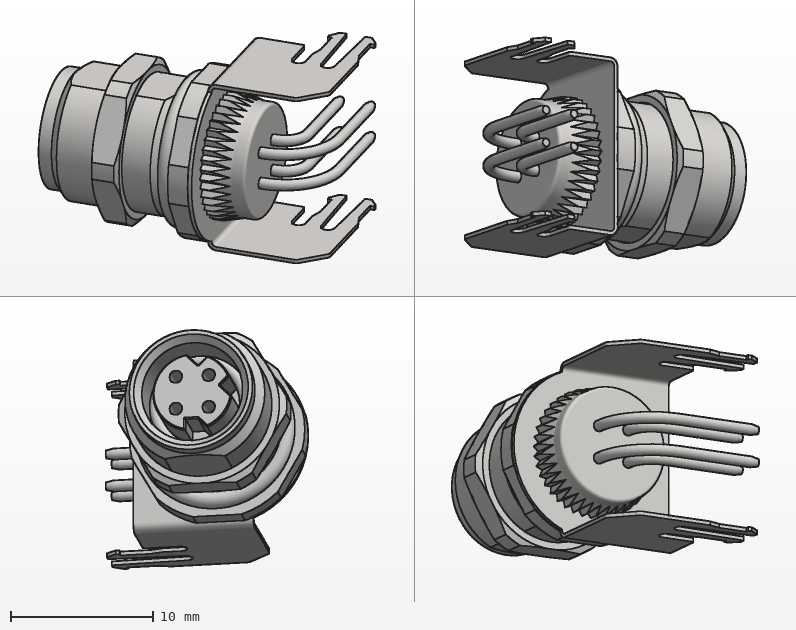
import cadquery as cq
import math


nose_radius = 8.8 / 2
nose_length = 0.98
thread_radius = 5.0
thread_start = 1.6
thread_end = 8.67
neck_radius = 4.5
neck_start = thread_end + (thread_radius - neck_radius)
thread_flat_height = neck_radius

flange_start = 10.5
flange_end = 11.98
flange_radius = 6.25
flange_across_flats = 12.02

bore_radius = 7.2 / 2
bore_mouth_radius = 4.1
bore_depth = 3.68
insert_radius = 2.82
insert_face_x = 0.53
insert_chamfer_width = 0.08
insert_chamfer_length = 0.16
contact_hole_diameter = 0.9
contact_hole_depth = 2.45
contact_offset = 2.35 / 2
key_tip_near = 0.4
key_tip_far = 1.96
key_reach = 1.64
wide_key_left = 0.51
wide_key_right = 0.39
wide_key_height = 1.95

seal_tube_radius = 0.6
seal_center_radius = 5.07
seal_center_x = flange_start - seal_tube_radius

sheet_thickness = 0.29
bracket_x = flange_end
bracket_back_x = bracket_x + sheet_thickness
bracket_half_height = 12.8 / 2
bracket_bottom_y = -2.31
bracket_top_y = flange_radius
bend_radius = 0.61
base_disc_radius = 6.2
arm_end_x = 20.45
arm_bevel = 1.8
arm_bevel_rounding = 0.4
arm_corner_rounding = 0.2
notch_start_x = 15.97
slot_radius = 0.51
slot_center_y = 3.72
clip_center_x = 18.7
clip_top_y = 9.12
clip_slot_top_half_width = 0.7
clip_tip_half_width = 1.2
clip_neck_half_width = 1.45
barb_half_width = arm_end_x - clip_center_x
barb_low_y = 8.12
barb_high_y = 8.38
clip_neck_bottom_y = 5.95
clip_root_y = 5.03

knurl_radius = 4.62
knurl_valley_radius = 4.23
knurl_taper_start = 12.97
knurl_teeth = 40
collar_radius = 8.4 / 2
collar_start = 14.5
collar_end = 15.5
collar_rounding = 0.25

pin_radius = 0.8 / 2
pin_straight_length = 0.22
pin_bend_x = collar_end + pin_straight_length
pin_bend_y = 2.95
pin_end_y = 9.16
pin_tip_radius = 0.29
pin_tip_length = 0.51

nut_start = 4.45
nut_end = 6.52
nut_radius = 6.01
nut_across_flats = 11.0
nut_face_radius = 5.52
nut_chamfer_length = 0.2


def turned(points):
    """Revolve (x, radius) points about the X axis."""
    return cq.Workplane("XY").polyline(points).close().revolve(360, (0, 0, 0), (1, 0, 0))


def cylinder_x(radius, start, end):
    return cq.Workplane("YZ", origin=(start, 0, 0)).circle(radius).extrude(end - start)


def hexagon_x(across_flats, start, end):
    """Hexagonal prism along X with flats at +Z and -Z."""
    corner_diameter = across_flats / math.cos(math.pi / 6)
    return cq.Workplane("YZ", origin=(start, 0, 0)).polygon(6, corner_diameter).extrude(end - start)


def torus_x(center_x, center_radius, tube_radius):
    profile = cq.Workplane("XY").center(center_x, center_radius).circle(tube_radius)
    return profile.revolve(360, (-center_x, -center_radius, 0), (0.2 - center_x, -center_radius, 0))


def make_shell():
    shell = turned([
        (0, 0),
        (0, nose_radius),
        (nose_length, nose_radius),
        (thread_start, thread_radius),
        (thread_end, thread_radius),
        (neck_start, neck_radius),
        (flange_start, neck_radius),
        (flange_start, 0),
    ])
    flat_bar = cq.Workplane("XY").box(flange_start, 2 * thread_radius, 2 * thread_flat_height)
    shell = shell.intersect(flat_bar.translate((flange_start / 2, 0, 0)))
    flange = cylinder_x(flange_radius, flange_start, flange_end)
    flange = flange.intersect(hexagon_x(flange_across_flats, flange_start, flange_end))
    return shell.union(flange)


def cut_mating_bore(shell):
    bore = turned([
        (0, 0),
        (0, bore_mouth_radius),
        (bore_mouth_radius - bore_radius, bore_radius),
        (bore_depth, bore_radius),
        (bore_depth, 0),
    ])
    inner_seal_tube = (bore_radius - insert_radius) / 2
    inner_seal = torus_x(bore_depth, insert_radius + inner_seal_tube, inner_seal_tube)
    return shell.cut(bore).union(inner_seal)


def make_insert():
    """Insert with three coding keyways and a tapered front, and the contact holes to cut from it.

    It merges with the bore floor.
    """
    plane = cq.Workplane("YZ", origin=(insert_face_x + insert_chamfer_length, 0, 0))
    length = bore_depth - insert_face_x - insert_chamfer_length
    insert = plane.circle(insert_radius).extrude(length)
    top_key = [
        (-key_tip_near, key_tip_far),
        (-key_tip_near - key_reach, key_tip_far + key_reach),
        (-key_tip_near + key_reach, key_tip_far + key_reach),
    ]
    side_key = [(-z, -y) for y, z in top_key]
    wide_key = [
        (wide_key_left, -wide_key_height),
        (-wide_key_right, -wide_key_height),
        (-wide_key_right - key_reach, -wide_key_height - key_reach),
        (wide_key_left, -wide_key_height - key_reach),
    ]
    for outline in (top_key, side_key, wide_key):
        insert = insert.cut(plane.polyline(outline).close().extrude(length))
    taper = math.degrees(math.atan2(insert_chamfer_width, insert_chamfer_length))
    front = insert.faces("<X").wires().toPending().workplane()
    insert = front.extrude(insert_chamfer_length, taper=taper)
    holes = (
        cq.Workplane("YZ", origin=(insert_face_x, 0, 0))
        .rect(2 * contact_offset, 2 * contact_offset, forConstruction=True)
        .vertices()
        .circle(contact_hole_diameter / 2)
        .extrude(contact_hole_depth)
    )
    return insert, holes


def make_arm_outline():
    """Flat XY shape of one bracket arm with its two-finger snap clip."""
    right_slot_x = clip_center_x + slot_radius
    left_slot_x = clip_center_x - slot_radius
    notch_end_x = notch_start_x + 2 * slot_radius
    slot_bottom_y = slot_center_y - slot_radius
    return (
        cq.Workplane("XY")
        .moveTo(bracket_x, bracket_bottom_y)
        .lineTo(arm_end_x - arm_bevel, bracket_bottom_y)
        .lineTo(arm_end_x, bracket_bottom_y + arm_bevel)
        .lineTo(arm_end_x, clip_root_y)
        .lineTo(clip_center_x + clip_neck_half_width, clip_neck_bottom_y)
        .lineTo(clip_center_x + clip_neck_half_width, barb_low_y)
        .lineTo(arm_end_x, barb_low_y)
        .lineTo(arm_end_x, barb_high_y)
        .lineTo(clip_center_x + clip_tip_half_width, clip_top_y)
        .lineTo(clip_center_x + clip_slot_top_half_width, clip_top_y)
        .lineTo(right_slot_x, slot_center_y)
        .threePointArc((clip_center_x, slot_bottom_y), (left_slot_x, slot_center_y))
        .lineTo(clip_center_x - clip_slot_top_half_width, clip_top_y)
        .lineTo(clip_center_x - clip_tip_half_width, clip_top_y)
        .lineTo(clip_center_x - barb_half_width, barb_high_y)
        .lineTo(clip_center_x - barb_half_width, barb_low_y)
        .lineTo(clip_center_x - clip_neck_half_width, barb_low_y)
        .lineTo(clip_center_x - clip_neck_half_width, clip_neck_bottom_y)
        .lineTo(notch_end_x, clip_root_y)
        .lineTo(notch_end_x, slot_center_y)
        .threePointArc((notch_start_x + slot_radius, slot_bottom_y), (notch_start_x, slot_center_y))
        .lineTo(notch_start_x, bracket_top_y)
        .lineTo(bracket_x, bracket_top_y)
        .close()
    )


def make_bracket():
    """U-shaped sheet: a base plate on the flange and two arms bent back along X.

    The arm outline, extruded over the full height, is trimmed to the bent sheet's thickness.
    """
    full_height = 2 * bracket_half_height
    arms = make_arm_outline().extrude(full_height).translate((0, 0, -bracket_half_height))
    bevel_ends = [(arm_end_x - arm_bevel, bracket_bottom_y), (arm_end_x, bracket_bottom_y + arm_bevel)]
    for x, y in bevel_ends:
        arms = arms.edges(cq.selectors.NearestToPointSelector((x, y, 0))).fillet(arm_bevel_rounding)
    arms = arms.edges(cq.selectors.NearestToPointSelector((notch_start_x, bracket_top_y, 0)))
    arms = arms.fillet(arm_corner_rounding)
    width = 2 * arm_end_x
    outer = cq.Workplane("XY").box(width, width, full_height).translate((bracket_x + width / 2, 0, 0))
    outer = outer.edges("<X and |Y").fillet(bend_radius)
    inner = cq.Workplane("XY").box(width, width, full_height - 2 * sheet_thickness)
    inner = inner.translate((bracket_back_x + width / 2, 0, 0))
    inner = inner.edges("<X and |Y").fillet(bend_radius - sheet_thickness)
    sheet = arms.intersect(outer.cut(inner))
    base_disc = cylinder_x(base_disc_radius, bracket_x, bracket_back_x).intersect(outer)
    return sheet.union(base_disc)


def make_knurl():
    """Ring of V-shaped teeth with sharp crests, tapered down to the collar."""
    half_pitch = math.pi / knurl_teeth
    outline = []
    for i in range(2 * knurl_teeth):
        radius = knurl_valley_radius if i % 2 else knurl_radius
        outline.append((radius * math.cos(i * half_pitch), radius * math.sin(i * half_pitch)))
    teeth = cq.Workplane("YZ", origin=(bracket_x, 0, 0)).polyline(outline).close()
    teeth = teeth.extrude(collar_start - bracket_x)
    envelope = turned([
        (bracket_x, 0),
        (bracket_x, knurl_radius),
        (knurl_taper_start, knurl_radius),
        (collar_start, collar_radius),
        (collar_start, 0),
    ])
    return teeth.intersect(envelope)


def make_collar():
    return cylinder_x(collar_radius, collar_start, collar_end).faces(">X").edges().fillet(collar_rounding)


def make_pin(row_y, z):
    """Round pin leaving the collar along +X and bent to +Y, with a tapered tip."""
    bend = pin_bend_y - row_y
    run_x = pin_bend_x + bend
    tip_y = pin_end_y - pin_tip_length
    path = (
        cq.Workplane("XY", origin=(0, 0, z))
        .moveTo(collar_start, row_y)
        .lineTo(pin_bend_x, row_y)
        .radiusArc((run_x, pin_bend_y), -bend)
        .lineTo(run_x, tip_y)
    )
    wire = cq.Workplane("YZ", origin=(collar_start, row_y, z)).circle(pin_radius).sweep(path)
    tip = cq.Solid.makeCone(
        pin_radius, pin_tip_radius, pin_tip_length, cq.Vector(run_x, tip_y, z), cq.Vector(0, 1, 0)
    )
    return wire.union(cq.Workplane(tip))


def make_connector():
    insert, contact_holes = make_insert()
    connector = cut_mating_bore(make_shell()).union(insert).cut(contact_holes)
    connector = connector.union(torus_x(seal_center_x, seal_center_radius, seal_tube_radius))
    connector = connector.union(make_bracket()).union(make_knurl()).union(make_collar())
    for row_y in (-contact_offset, contact_offset):
        for z in (-contact_offset, contact_offset):
            connector = connector.union(make_pin(row_y, z))
    return connector


def make_nut():
    """Hex nut with chamfered corners, its bore seated on the threaded part of the shell."""
    blank = turned([
        (nut_start, thread_radius),
        (nut_start, nut_face_radius),
        (nut_start + nut_chamfer_length, nut_radius),
        (nut_end - nut_chamfer_length, nut_radius),
        (nut_end, nut_face_radius),
        (nut_end, thread_radius),
    ])
    return blank.intersect(hexagon_x(nut_across_flats, nut_start, nut_end))


connector = make_connector()
nut = make_nut()

result = cq.Compound.makeCompound([connector.val(), nut.val()])